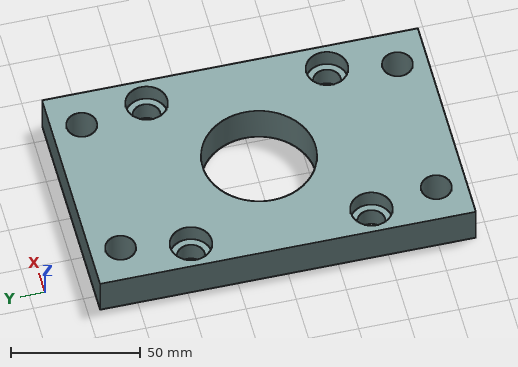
import cadquery as cq

width = 94.0
length = 150.0
thickness = 16.0

bore_diameter = 45.0

corner_hole_diameter = 12.0
corner_spacing_x = 63.0
corner_spacing_y = 126.0

screw_spacing = 72.0
screw_hole_diameter = 11.0
counterbore_diameter = 16.5
counterbore_depth = 7.5

plate = cq.Workplane("XY").box(width, length, thickness, centered=(True, True, False))

bored_plate = plate.faces(">Z").workplane().hole(bore_diameter)

drilled_plate = (
    bored_plate.faces(">Z")
    .workplane()
    .rarray(corner_spacing_x, corner_spacing_y, 2, 2)
    .hole(corner_hole_diameter)
)

result = (
    drilled_plate.faces(">Z")
    .workplane()
    .rarray(screw_spacing, screw_spacing, 2, 2)
    .cboreHole(screw_hole_diameter, counterbore_diameter, counterbore_depth)
)